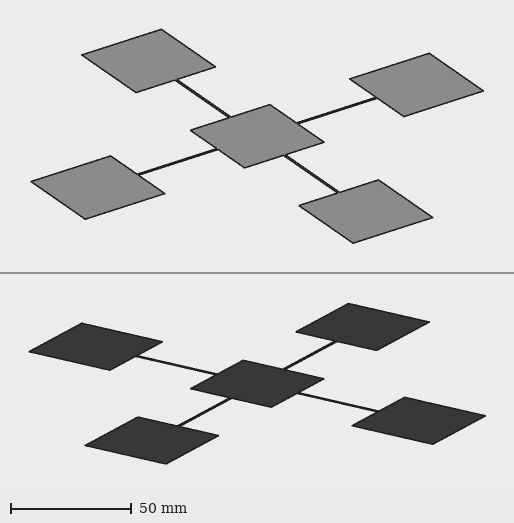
import cadquery as cq

overall_span = 200.0
thickness = 0.2
strip_width = 1.0

pad_side = overall_span / 5
pad_pitch = 2 * pad_side


def plate(length_x, length_y):
    """Thin rectangular plate centred on the origin."""
    return cq.Workplane("XY").box(length_x, length_y, thickness)


result = plate(pad_side, pad_side)
result = result.union(plate(2 * pad_pitch, strip_width))
result = result.union(plate(strip_width, 2 * pad_pitch))

for direction_x, direction_y in [(1, 0), (0, 1), (-1, 0), (0, -1)]:
    pad_centre = (direction_x * pad_pitch, direction_y * pad_pitch, 0)
    result = result.union(plate(pad_side, pad_side).translate(pad_centre))

result = result.clean()